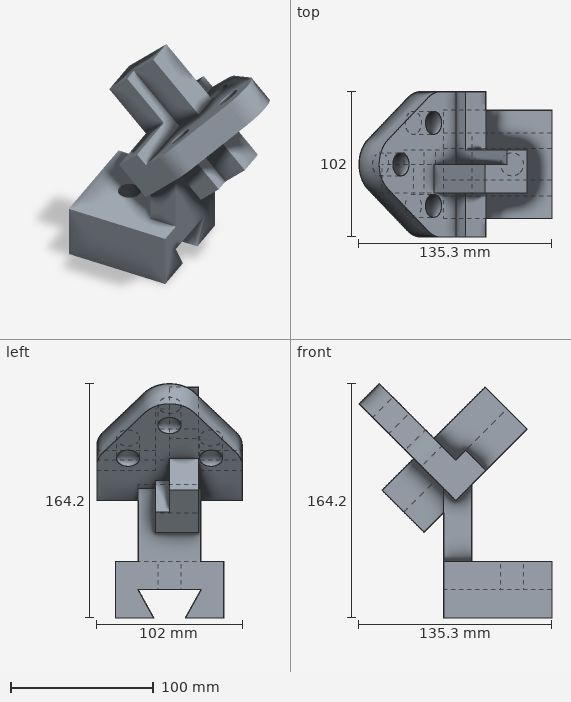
import cadquery as cq
import math

base_size = 76.0
base_height = 39.7
dovetail_depth = 19.9
dovetail_top_width = 44.0
dovetail_mouth_width = 22.0

column_thickness = 19.9
column_width = dovetail_top_width
column_top = 101.8

total_height = 164.2
tilt_angle = 45.0
bracket_thickness = 20.0
bracket_width = 102.0
flange_length = 29.9
plate_length = 95.9
plate_corner_radius = 21.5
corner_x = 8.5
corner_z = total_height - (plate_length + bracket_thickness) * math.sin(math.radians(tilt_angle))

bar_height = 41.7
bar_step_height = bracket_thickness
bar_back = -31.4
bar_front = 70.8
bar_side = 20.2
bar_step_side = 10.0

hole_diameter = 16.1
lower_hole_height = 42.0
lower_hole_offset = 29.0
base_hole_x = (column_thickness + base_size) / 2


def make_base():
    block = cq.Workplane("XY").box(
        base_size, base_size, base_height, centered=(False, True, False)
    )
    dovetail = (
        cq.Workplane("YZ")
        .moveTo(-dovetail_mouth_width / 2, 0)
        .lineTo(dovetail_mouth_width / 2, 0)
        .lineTo(dovetail_top_width / 2, dovetail_depth)
        .lineTo(-dovetail_top_width / 2, dovetail_depth)
        .close()
        .extrude(base_size)
    )
    hole = cq.Workplane("XY").center(base_hole_x, 0).circle(hole_diameter / 2).extrude(base_height)
    return block.cut(dovetail).cut(hole)


def make_column():
    return (
        cq.Workplane("XY")
        .workplane(offset=base_height)
        .box(column_thickness, column_width, column_top - base_height, centered=(False, True, False))
    )


def make_plate():
    """Upright plate in the bracket's own axes, with its back face at X = 0."""
    half_width = bracket_width / 2
    shoulder_height = bar_height
    tip_center = plate_length - plate_corner_radius

    rise = tip_center - shoulder_height
    tangent_angle = math.asin(plate_corner_radius / math.hypot(half_width, rise))
    slant_angle = math.atan2(half_width, rise) - tangent_angle
    sharp_tip = shoulder_height + half_width / math.tan(slant_angle)

    plate = (
        cq.Workplane("YZ")
        .moveTo(-half_width, 0)
        .lineTo(half_width, 0)
        .lineTo(half_width, shoulder_height)
        .lineTo(0, sharp_tip)
        .lineTo(-half_width, shoulder_height)
        .close()
        .extrude(bracket_thickness)
        .edges("|X and (not <Z)")
        .fillet(plate_corner_radius)
    )
    hole_places = [
        (0, tip_center),
        (-lower_hole_offset, lower_hole_height),
        (lower_hole_offset, lower_hole_height),
    ]
    holes = (
        cq.Workplane("YZ")
        .pushPoints(hole_places)
        .circle(hole_diameter / 2)
        .extrude(bracket_thickness)
    )
    return plate.cut(holes)


def make_flange():
    return cq.Workplane("XY").box(
        flange_length, bracket_width, bracket_thickness, centered=(False, True, False)
    )


def make_bar():
    return (
        cq.Workplane("YZ")
        .workplane(offset=bar_back)
        .moveTo(-bar_side, 0)
        .lineTo(bar_step_side, 0)
        .lineTo(bar_step_side, bar_step_height)
        .lineTo(0, bar_step_height)
        .lineTo(0, bar_height)
        .lineTo(-bar_side, bar_height)
        .close()
        .extrude(bar_front - bar_back)
    )


def make_bracket():
    upright = make_plate().union(make_flange()).union(make_bar())
    tilted = upright.rotate((0, 0, 0), (0, 1, 0), -tilt_angle)
    return tilted.translate((corner_x, 0, corner_z))


result = make_base().union(make_column()).union(make_bracket())